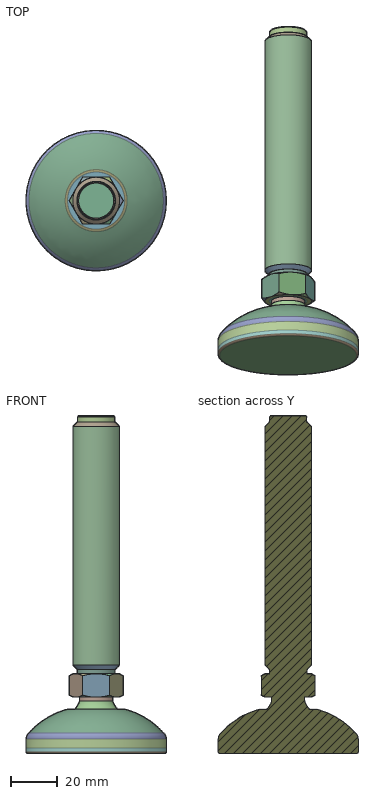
import cadquery as cq
import math

foot_diameter = 60.0
foot_radius = foot_diameter / 2
bottom_fillet = 0.8
pad_height = 2.4
shoulder_height = 6.2
dome_edge_height = 8.9
dome_edge_radius = 28.7
dome_bulge = 1.3
foot_height = 18.95
dome_top_radius = 26.5 / 2
flat_top_radius = 24.4 / 2
top_rounding_drop = 0.2

collar_diameter = 18.32
collar_hollow = 0.2
neck_diameter = 14.3
undercut_diameter = 16.2
rod_diameter = 20.0
tip_diameter = 16.0
rod_chamfer_diameter = 16.5
neck_start = 22.4
hex_bottom = 24.1
rod_chamfer_start = 36.0
tip_length = 2.8
tip_chamfer = 0.5
total_height = 144.2

across_flats = 20.0
hex_height = 10.0
hex_top = hex_bottom + hex_height
hex_chamfer_slope = math.tan(math.radians(30))


def bulge_point(start, end, bulge):
    """Middle of a rising arc; positive bulges lie outside the chord, negative ones inside."""
    chord_r = end[0] - start[0]
    chord_z = end[1] - start[1]
    chord = math.hypot(chord_r, chord_z)
    middle_r = (start[0] + end[0]) / 2
    middle_z = (start[1] + end[1]) / 2
    return (middle_r + bulge * chord_z / chord, middle_z - bulge * chord_r / chord)


def revolve_profile(profile):
    return profile.close().revolve(360, (0, 0, 0), (0, 1, 0))


def make_pad():
    """Rubber pad under the foot plate, with a rounded bottom edge."""
    profile = (
        cq.Workplane("XZ")
        .lineTo(foot_radius - bottom_fillet, 0)
        .tangentArcPoint((foot_radius, bottom_fillet), relative=False)
        .lineTo(foot_radius, pad_height)
        .lineTo(0, pad_height)
    )
    return revolve_profile(profile)


def make_foot_plate():
    """Domed plate: upright rim, rounded shoulder, dome and a small flat top."""
    dome_edge = (dome_edge_radius, dome_edge_height)
    dome_top = (dome_top_radius, foot_height - top_rounding_drop)
    profile = (
        cq.Workplane("XZ")
        .moveTo(0, pad_height)
        .lineTo(foot_radius, pad_height)
        .lineTo(foot_radius, shoulder_height)
        .tangentArcPoint(dome_edge, relative=False)
        .threePointArc(bulge_point(dome_edge, dome_top, dome_bulge), dome_top)
        .tangentArcPoint((flat_top_radius, foot_height), relative=False)
        .lineTo(0, foot_height)
    )
    return revolve_profile(profile)


def make_spindle():
    collar_base = (collar_diameter / 2, foot_height)
    collar_top = (neck_diameter / 2, neck_start)
    rod_radius = rod_diameter / 2
    rod_chamfer = (rod_diameter - rod_chamfer_diameter) / 2
    tip_start = total_height - tip_length
    profile = (
        cq.Workplane("XZ")
        .lineTo(0, foot_height)
        .lineTo(*collar_base)
        .threePointArc(bulge_point(collar_base, collar_top, -collar_hollow), collar_top)
        .lineTo(neck_diameter / 2, hex_bottom)
        .lineTo(undercut_diameter / 2, hex_bottom)
        .lineTo(undercut_diameter / 2, rod_chamfer_start)
        .lineTo(rod_chamfer_diameter / 2, rod_chamfer_start)
        .lineTo(rod_radius, rod_chamfer_start + rod_chamfer)
        .lineTo(rod_radius, tip_start - rod_chamfer)
        .lineTo(rod_chamfer_diameter / 2, tip_start)
        .lineTo(tip_diameter / 2, tip_start)
        .lineTo(tip_diameter / 2, total_height - tip_chamfer)
        .lineTo(tip_diameter / 2 - tip_chamfer, total_height)
        .lineTo(0, total_height)
    )
    return revolve_profile(profile)


def make_hexagon():
    flat_radius = across_flats / 2
    corner_radius = flat_radius / math.cos(math.pi / 6)
    corner_drop = (corner_radius - flat_radius) * hex_chamfer_slope
    prism = (
        cq.Workplane("XY")
        .workplane(offset=hex_bottom)
        .polygon(6, 2 * corner_radius)
        .extrude(hex_height)
    )
    chamfer_envelope = revolve_profile(
        cq.Workplane("XZ")
        .moveTo(0, hex_bottom)
        .lineTo(flat_radius, hex_bottom)
        .lineTo(corner_radius, hex_bottom + corner_drop)
        .lineTo(corner_radius, hex_top - corner_drop)
        .lineTo(flat_radius, hex_top)
        .lineTo(0, hex_top)
    )
    return prism.intersect(chamfer_envelope)


result = (
    make_pad()
    .union(make_foot_plate(), clean=False)
    .union(make_spindle(), clean=False)
    .union(make_hexagon(), clean=False)
)